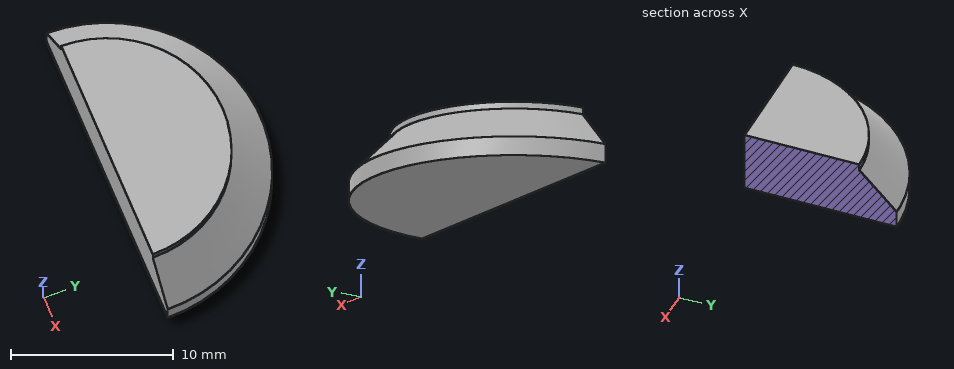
import cadquery as cq

base_radius = 10.15
shoulder_width = 2.5
top_radius = base_radius - shoulder_width
total_height = 4.15
rim_height = 1.2
shoulder_top = rim_height + shoulder_width

profile = (
    cq.Workplane("XZ")
    .lineTo(base_radius, 0)
    .lineTo(base_radius, rim_height)
    .lineTo(top_radius, shoulder_top)
    .lineTo(top_radius, total_height)
    .lineTo(0, total_height)
    .close()
)
half_turn = 180
result = profile.revolve(half_turn, (0, 0), (0, 1))